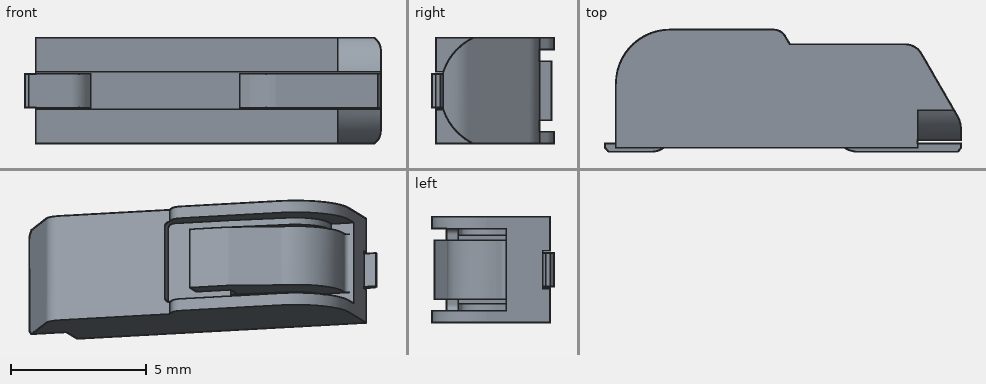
import cadquery as cq
import math

HOUSING_LENGTH = 12.7
HOUSING_WIDTH = 3.9
HIGH_TOP = 4.35
LOW_TOP = 3.81
STEP_END_X = 6.4
SHOULDER_X = 11.04
SLOPE_ANGLE = 60
REAR_RADIUS = 2.0
STEP_RADIUS = 0.5
SHOULDER_RADIUS = 0.7
TIP_RADIUS = 1.0

LUG_START_X = 11.1

GROOVE_WIDTH = 1.38
GROOVE_DEPTH = 0.27

LUG_SIDE_Y = 1.38
LUG_AXIS_Y = (
    (HOUSING_WIDTH / 2) ** 2 - (GROOVE_WIDTH / 2) ** 2 + LUG_SIDE_Y ** 2 - GROOVE_DEPTH ** 2
) / (2 * (LUG_SIDE_Y - GROOVE_DEPTH))
LUG_RADIUS = math.hypot(HOUSING_WIDTH / 2, LUG_AXIS_Y - LUG_SIDE_Y)

PLATE_THICKNESS = 0.44
CAVITY_WIDTH = HOUSING_WIDTH - 2 * PLATE_THICKNESS
CAVITY_FLOOR_Y = 1.62
CAVITY_END_X = 6.6
CAVITY_CORNER_RADIUS = 0.22
LEDGE_START_X = 4.2
LEDGE_TOP_Y = 3.37

PIVOT_X = 2.12
PIVOT_Y = 1.99
LEVER_RADIUS = 1.8
LEVER_WIDTH = 2.18
LEVER_TOP_Y = 4.26
LEVER_RISE_ANGLE = 14
LEVER_END_X = 5.5
LEVER_FOOT_RADIUS = 0.16
CHEEK_RADIUS = 1.26
CHEEK_THICKNESS = 0.25

STRIP_WIDTH = 1.24
STRIP_THICKNESS = 0.31
STRIP_OUTER_Y = -0.15
STRIP_INNER_Y = STRIP_OUTER_Y + STRIP_THICKNESS
REAR_STRIP_START_X = -0.4
REAR_BEND_START_X = 1.32
REAR_BEND_END_X = 1.83
REAR_BEND_ANGLE = 45
REAR_STRIP_END_X = 2.03
FRONT_STRIP_START_X = 7.51
FRONT_UPPER_BEND_START_X = 7.87
FRONT_UPPER_BEND_END_X = 8.07
FRONT_LOWER_BEND_START_X = 8.58
FRONT_LOWER_BEND_END_X = 8.82
FRONT_BEND_ANGLE = 27
FRONT_TAIL_ANGLE = 6
CHAMFER_HEIGHT = 0.15
REAR_CHAMFER_LENGTH = 0.14
FRONT_CHAMFER_LENGTH = 0.12


def tan(degrees):
    return math.tan(math.radians(degrees))


def extrude_centred(profile, width):
    """Extrude an XY profile by width, symmetric about Z = 0."""
    return profile.extrude(width / 2, both=True)


def box_between(x0, x1, y0, y1, width):
    """Box with the given X and Y limits, symmetric about Z = 0."""
    profile = cq.Workplane("XY").polyline([(x0, y0), (x1, y0), (x1, y1), (x0, y1)]).close()
    return extrude_centred(profile, width)


def fillet_at(body, x, y, radius):
    """Round the Z-parallel edge at (x, y)."""
    return body.edges(cq.selectors.NearestToPointSelector((x, y, 0))).fillet(radius)


def make_housing():
    step_start_x = STEP_END_X - (HIGH_TOP - LOW_TOP) / tan(SLOPE_ANGLE)
    tip_y = LOW_TOP - (HOUSING_LENGTH - SHOULDER_X) * tan(SLOPE_ANGLE)
    profile = cq.Workplane("XY").polyline([
        (0, 0),
        (HOUSING_LENGTH, 0),
        (HOUSING_LENGTH, tip_y),
        (SHOULDER_X, LOW_TOP),
        (STEP_END_X, LOW_TOP),
        (step_start_x, HIGH_TOP),
        (0, HIGH_TOP),
    ]).close()
    body = extrude_centred(profile, HOUSING_WIDTH)
    body = fillet_at(body, 0, HIGH_TOP, REAR_RADIUS)
    body = fillet_at(body, step_start_x, HIGH_TOP, STEP_RADIUS)
    body = fillet_at(body, SHOULDER_X, LOW_TOP, SHOULDER_RADIUS)
    return fillet_at(body, HOUSING_LENGTH, tip_y, TIP_RADIUS)


def round_lug(body):
    """Round the lug underside with a cylinder along X, from the sides down to the groove edges."""
    end_zone = box_between(LUG_START_X, HOUSING_LENGTH, 0, LUG_AXIS_Y, HOUSING_WIDTH)
    side_strip = box_between(LUG_START_X, HOUSING_LENGTH, LUG_SIDE_Y, LUG_AXIS_Y, HOUSING_WIDTH)
    cylinder = (
        cq.Workplane("YZ", origin=(LUG_START_X, 0, 0))
        .center(LUG_AXIS_Y, 0)
        .circle(LUG_RADIUS)
        .extrude(HOUSING_LENGTH - LUG_START_X)
    )
    return body.cut(end_zone.cut(side_strip).cut(cylinder))


def make_cavity():
    cavity = box_between(0, CAVITY_END_X, CAVITY_FLOOR_Y, HIGH_TOP, CAVITY_WIDTH)
    cavity = cavity.edges("|Y and >X").fillet(CAVITY_CORNER_RADIUS)
    ledge = box_between(LEDGE_START_X, CAVITY_END_X, CAVITY_FLOOR_Y, LEDGE_TOP_Y, CAVITY_WIDTH)
    return cavity.cut(ledge)


def make_lever():
    front_x = PIVOT_X - LEVER_RADIUS
    crown_y = PIVOT_Y + LEVER_RADIUS
    rise_end_x = PIVOT_X + (LEVER_TOP_Y - crown_y) / tan(LEVER_RISE_ANGLE)
    profile = (
        cq.Workplane("XY")
        .moveTo(front_x - LEVER_FOOT_RADIUS, CAVITY_FLOOR_Y)
        .radiusArc((front_x, CAVITY_FLOOR_Y + LEVER_FOOT_RADIUS), -LEVER_FOOT_RADIUS)
        .lineTo(front_x, PIVOT_Y)
        .radiusArc((PIVOT_X, crown_y), LEVER_RADIUS)
        .lineTo(rise_end_x, LEVER_TOP_Y)
        .lineTo(LEVER_END_X, LEVER_TOP_Y)
        .lineTo(LEVER_END_X, CAVITY_FLOOR_Y)
        .close()
    )
    return extrude_centred(profile, LEVER_WIDTH)


def make_cheeks():
    """Two rounded cheeks on the inner faces of the side plates."""
    front_x = PIVOT_X - CHEEK_RADIUS
    profile = (
        cq.Workplane("XY")
        .moveTo(front_x, CAVITY_FLOOR_Y)
        .lineTo(front_x, PIVOT_Y)
        .radiusArc((PIVOT_X, PIVOT_Y + CHEEK_RADIUS), CHEEK_RADIUS)
        .lineTo(LEDGE_START_X, LEDGE_TOP_Y)
        .lineTo(LEDGE_START_X, CAVITY_FLOOR_Y)
        .close()
    )
    gap = box_between(0, CAVITY_END_X, 0, HIGH_TOP, CAVITY_WIDTH - 2 * CHEEK_THICKNESS)
    return extrude_centred(profile, CAVITY_WIDTH).cut(gap)


def make_rear_strip():
    """Flat strip overhanging the left end, bent up into the groove floor."""
    bend_sin = math.sin(math.radians(REAR_BEND_ANGLE))
    bend_cos = math.cos(math.radians(REAR_BEND_ANGLE))
    radius = (REAR_BEND_END_X - REAR_BEND_START_X) / bend_sin
    inner_radius = radius - STRIP_THICKNESS
    bend_y = STRIP_OUTER_Y + radius * (1 - bend_cos)
    tail = REAR_STRIP_END_X - REAR_BEND_END_X
    end_y = bend_y + tail * tan(REAR_BEND_ANGLE)
    shift_x = STRIP_THICKNESS * bend_sin
    shift_y = STRIP_THICKNESS * bend_cos
    profile = (
        cq.Workplane("XY")
        .moveTo(REAR_STRIP_START_X, STRIP_INNER_Y)
        .lineTo(REAR_STRIP_START_X, STRIP_OUTER_Y + CHAMFER_HEIGHT)
        .lineTo(REAR_STRIP_START_X + REAR_CHAMFER_LENGTH, STRIP_OUTER_Y)
        .lineTo(REAR_BEND_START_X, STRIP_OUTER_Y)
        .radiusArc((REAR_BEND_END_X, bend_y), -radius)
        .lineTo(REAR_STRIP_END_X, end_y)
        .lineTo(REAR_STRIP_END_X - shift_x, end_y + shift_y)
        .lineTo(REAR_BEND_END_X - shift_x, bend_y + shift_y)
        .radiusArc((REAR_BEND_START_X, STRIP_INNER_Y), inner_radius)
        .close()
    )
    return extrude_centred(profile, STRIP_WIDTH)


def make_front_strip():
    """Strip emerging from the groove floor and bent down to a flat end under the lug."""
    drop = (FRONT_LOWER_BEND_START_X - FRONT_UPPER_BEND_END_X) * tan(FRONT_BEND_ANGLE)
    lower_y = STRIP_OUTER_Y + (FRONT_LOWER_BEND_END_X - FRONT_LOWER_BEND_START_X) * tan(FRONT_BEND_ANGLE / 2)
    upper_y = lower_y + drop
    mean_angle = (FRONT_BEND_ANGLE + FRONT_TAIL_ANGLE) / 2
    tail_y = upper_y + (FRONT_UPPER_BEND_END_X - FRONT_UPPER_BEND_START_X) * tan(mean_angle)
    start_y = tail_y + (FRONT_UPPER_BEND_START_X - FRONT_STRIP_START_X) * tan(FRONT_TAIL_ANGLE)
    profile = (
        cq.Workplane("XY")
        .moveTo(FRONT_STRIP_START_X, start_y)
        .lineTo(FRONT_UPPER_BEND_START_X, tail_y)
        .lineTo(FRONT_UPPER_BEND_END_X, upper_y)
        .lineTo(FRONT_LOWER_BEND_START_X, lower_y)
        .lineTo(FRONT_LOWER_BEND_END_X, STRIP_OUTER_Y)
        .lineTo(HOUSING_LENGTH - FRONT_CHAMFER_LENGTH, STRIP_OUTER_Y)
        .lineTo(HOUSING_LENGTH, STRIP_OUTER_Y + CHAMFER_HEIGHT)
        .lineTo(HOUSING_LENGTH, STRIP_INNER_Y)
        .lineTo(FRONT_LOWER_BEND_END_X, STRIP_INNER_Y)
        .lineTo(FRONT_STRIP_START_X, start_y + STRIP_THICKNESS)
        .close()
    )
    return extrude_centred(profile, STRIP_WIDTH)


groove = box_between(0, HOUSING_LENGTH, 0, GROOVE_DEPTH, GROOVE_WIDTH)
housing = round_lug(make_housing()).cut(groove).cut(make_cavity())
result = (
    housing
    .union(make_lever())
    .union(make_cheeks())
    .union(make_rear_strip())
    .union(make_front_strip())
)